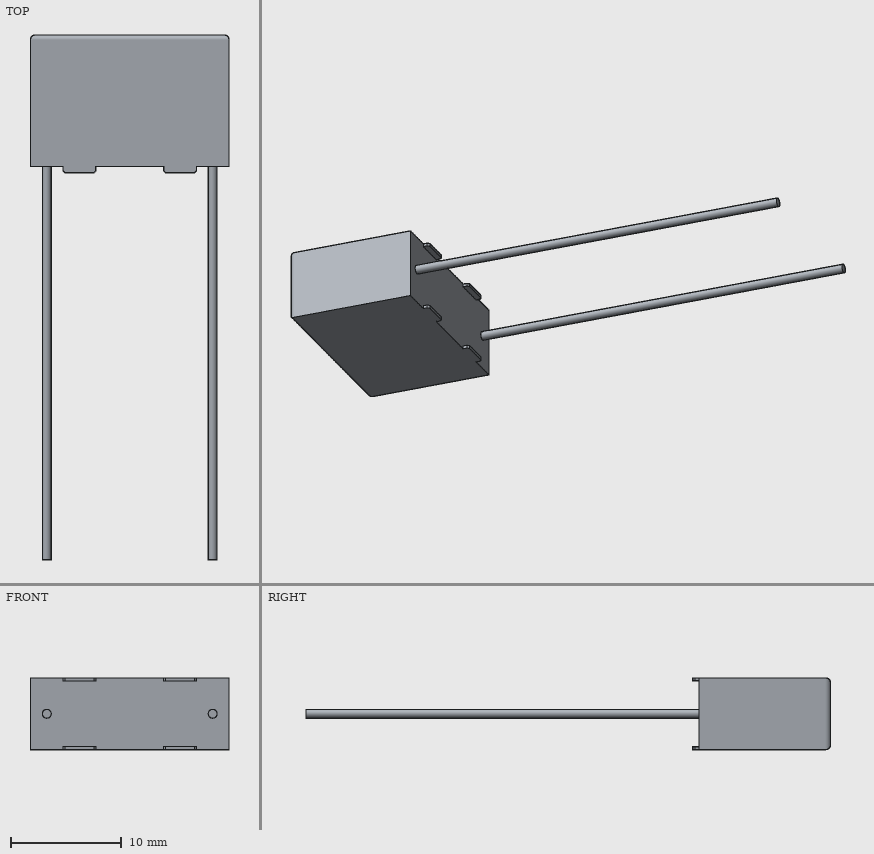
import cadquery as cq


OVERALL_LENGTH = 47.5

HOUSING_WIDTH = 18.0
HOUSING_DEPTH = 11.9
HOUSING_HEIGHT = 6.5
BACK_EDGE_RADIUS = 0.48

TAB_WIDTH = 3.0
TAB_LENGTH = 0.55
TAB_THICKNESS = 0.3
TAB_SPACING = 9.1
TAB_CORNER_CHAMFER = 0.2

LEAD_DIAMETER = 0.8
LEAD_SPACING = 15.0
LEAD_LENGTH = OVERALL_LENGTH - HOUSING_DEPTH


def make_tab(x, z):
    """Standoff tab on the lead face, centred at (x, z), with chamfered outer corners."""
    return (
        cq.Workplane("XY")
        .box(TAB_WIDTH, TAB_LENGTH, TAB_THICKNESS)
        .edges("|Z and <Y")
        .chamfer(TAB_CORNER_CHAMFER)
        .translate((x, -TAB_LENGTH / 2, z))
    )


def make_housing():
    """Box with a rounded back rim and four tabs on the lead face."""
    housing = (
        cq.Workplane("XY")
        .box(HOUSING_WIDTH, HOUSING_DEPTH, HOUSING_HEIGHT)
        .translate((0, HOUSING_DEPTH / 2, 0))
        .faces(">Y")
        .edges()
        .fillet(BACK_EDGE_RADIUS)
    )
    tab_offset_z = (HOUSING_HEIGHT - TAB_THICKNESS) / 2
    for x_side in (-1, 1):
        for z_side in (-1, 1):
            housing = housing.union(make_tab(x_side * TAB_SPACING / 2, z_side * tab_offset_z))
    return housing


def make_lead(x):
    """Round wire that starts on the lead face and runs toward -Y."""
    return cq.Workplane("XZ").center(x, 0).circle(LEAD_DIAMETER / 2).extrude(LEAD_LENGTH)


housing = make_housing()
leads = [make_lead(side * LEAD_SPACING / 2) for side in (-1, 1)]

result = cq.Compound.makeCompound([housing.val(), *[lead.val() for lead in leads]])